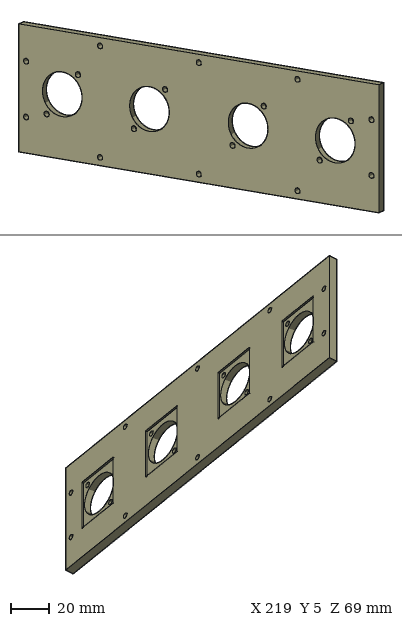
import cadquery as cq

plate_length = 219.0
plate_thickness = 5.0
plate_height = 69.0

connector_diameter = 24.0
connector_inner_x = 30.0
connector_outer_x = 83.0
connector_positions_x = [-connector_outer_x, -connector_inner_x, connector_inner_x, connector_outer_x]
connector_z = 0.5
connector_centres = [(x, connector_z) for x in connector_positions_x]
connector_screw_dx = 19.0 / 2
connector_screw_dz = 24.0 / 2

flange_width = 26.0
flange_height = 31.0
flange_recess_depth = 1.0

screw_diameter = 3.0
edge_inset = 4.5
long_edge_pitch = 60.0
short_edge_pitch = 30.0


def connector_screw_points():
    """Two screw centres per connector, lower left and upper right of its opening."""
    return [
        (x + side * connector_screw_dx, z + side * connector_screw_dz)
        for x, z in connector_centres
        for side in (-1, 1)
    ]


def mounting_points():
    """Mounting hole centres along all four edges of the plate."""
    row_z = plate_height / 2 - edge_inset
    column_x = plate_length / 2 - edge_inset
    long_edges = [(step * long_edge_pitch, side * row_z) for step in (-1, 0, 1) for side in (-1, 1)]
    short_edges = [(side * column_x, end * short_edge_pitch / 2) for side in (-1, 1) for end in (-1, 1)]
    return long_edges + short_edges


def rear_face_points(points):
    """Workplane on the rear face, extruding into the plate (-Y), with the (X, Z) points on its stack."""
    return cq.Workplane("XZ", origin=(0, plate_thickness / 2, 0)).pushPoints(points)


def through_holes(body, points, diameter):
    """Drill holes through the full thickness at the given (X, Z) points."""
    drills = rear_face_points(points).circle(diameter / 2).extrude(plate_thickness)
    return body.cut(drills)


def flange_recesses(body):
    """Sink a flange seat into the rear face around each connector opening."""
    seats = rear_face_points(connector_centres).rect(flange_width, flange_height).extrude(flange_recess_depth)
    return body.cut(seats)


plate = cq.Workplane("XY").box(plate_length, plate_thickness, plate_height)
plate = through_holes(plate, connector_centres, connector_diameter)
plate = flange_recesses(plate)
plate = through_holes(plate, connector_screw_points(), screw_diameter)
result = through_holes(plate, mounting_points(), screw_diameter)